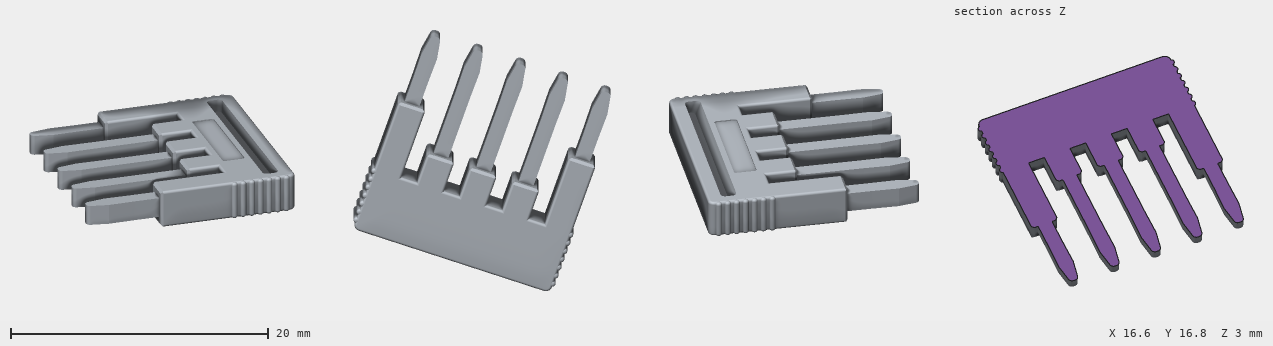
import cadquery as cq

total_width = 16.55
total_length = 16.8
thickness = 3.0

pitch = 3.5
pin_count = 5
leg_width = 2.2
notch_depth = 5.2
inner_leg_end = 7.71
outer_leg_end = 11.0
edge_round = 0.2
leg_end_chamfer = 0.2
back_corner_radius = 0.5

rib_count = 7
rib_pitch = 0.7
first_rib = 0.77
rib_radius = 0.25
rib_end_round = 0.2

pin_thickness = 1.6
pin_width = 1.21
pin_wide_width = 1.28
pin_tip_width = 0.7
pin_tip_radius = 0.34
widening_start = 13.0
taper_start = 15.1

slot_length = 14.55
slot_back = 1.13
slot_front = 2.37
slot_depth = 0.97
slot_end_lean = 0.07
slot_back_lean = 0.07
slot_front_lean = 0.44
slot_corner_radius = 0.35

label_length = 7.93
label_width = 1.78
label_back = 2.82
label_depth = 0.1
label_corner_radius = 0.17

tolerance = 0.002
top = thickness / 2
leg_centers = [(i - (pin_count - 1) / 2) * pitch for i in range(pin_count)]
body_half_width = leg_centers[-1] + leg_width / 2


def leg_end(index):
    """Distance of a leg's end face from the back edge."""
    return outer_leg_end if index in (0, pin_count - 1) else inner_leg_end


def is_leg_end_edge(edge):
    """True for the top and bottom edges left by the leg-end chamfers."""
    y = edge.Center().y
    return any(abs(y + end - leg_end_chamfer) < tolerance for end in (inner_leg_end, outer_leg_end))


def make_body():
    """Comb-shaped housing with rounded rims and chamfered leg ends."""
    outline = [(-body_half_width, 0)]
    for index, x in enumerate(leg_centers):
        left, right, end = x - leg_width / 2, x + leg_width / 2, -leg_end(index)
        if index > 0:
            outline.append((left, -notch_depth))
        outline += [(left, end), (right, end)]
        if index < pin_count - 1:
            outline.append((right, -notch_depth))
    outline.append((body_half_width, 0))
    body = cq.Workplane("XY").polyline(outline).close().extrude(top, both=True)
    body = body.edges("|Z and >Y").fillet(back_corner_radius)
    for index, x in enumerate(leg_centers):
        end_face = cq.selectors.NearestToPointSelector((x, -leg_end(index), 0))
        body = body.faces(end_face).chamfer(leg_end_chamfer)
    rims = body.faces("<Z or >Z").edges().filter(lambda edge: not is_leg_end_edge(edge))
    return rims.fillet(edge_round)


def make_rib(x, y):
    """Vertical half-round grip rib with rounded ends."""
    rib = cq.Workplane("XY").center(x, y).circle(rib_radius).extrude(top, both=True)
    return rib.edges().fillet(rib_end_round)


def make_pin(x):
    """Flat contact pin that widens slightly, then tapers to a rounded tip."""
    right_side = [
        (pin_width / 2, -notch_depth),
        (pin_width / 2, -widening_start),
        (pin_wide_width / 2, -taper_start),
        (pin_tip_width / 2, -total_length),
    ]
    left_side = [(-px, py) for px, py in reversed(right_side)]
    pin = cq.Workplane("XY").polyline(right_side + left_side).close()
    pin = pin.extrude(pin_thickness / 2, both=True)
    return pin.edges("|Z and <Y").fillet(pin_tip_radius).translate((x, 0, 0))


def slot_section(length, back, front):
    """Rounded rectangle between two distances from the back edge."""
    section = cq.Sketch().rect(length, front - back).vertices().fillet(slot_corner_radius)
    return section.moved(cq.Location(cq.Vector(0, -(back + front) / 2, 0)))


def make_slot():
    """Long pocket that narrows toward its floor, mostly by its sloping front wall."""
    floor = slot_section(
        slot_length - 2 * slot_end_lean,
        slot_back + slot_back_lean,
        slot_front - slot_front_lean,
    )
    rim = slot_section(slot_length, slot_back, slot_front)
    rim = rim.moved(cq.Location(cq.Vector(0, 0, slot_depth)))
    return cq.Workplane("XY", origin=(0, 0, top - slot_depth)).placeSketch(floor, rim).loft(ruled=True)


def make_label_recess():
    """Shallow rounded panel sunk into the top face."""
    recess = cq.Workplane("XY").box(label_length, label_width, 2 * label_depth)
    recess = recess.edges("|Z").fillet(label_corner_radius)
    return recess.translate((0, -label_back - label_width / 2, top))


result = make_body()
for side in (-1, 1):
    rib_x = side * (total_width / 2 - rib_radius)
    for i in range(rib_count):
        result = result.union(make_rib(rib_x, -first_rib - i * rib_pitch))
for x in leg_centers:
    result = result.union(make_pin(x))
result = result.cut(make_slot()).cut(make_label_recess())